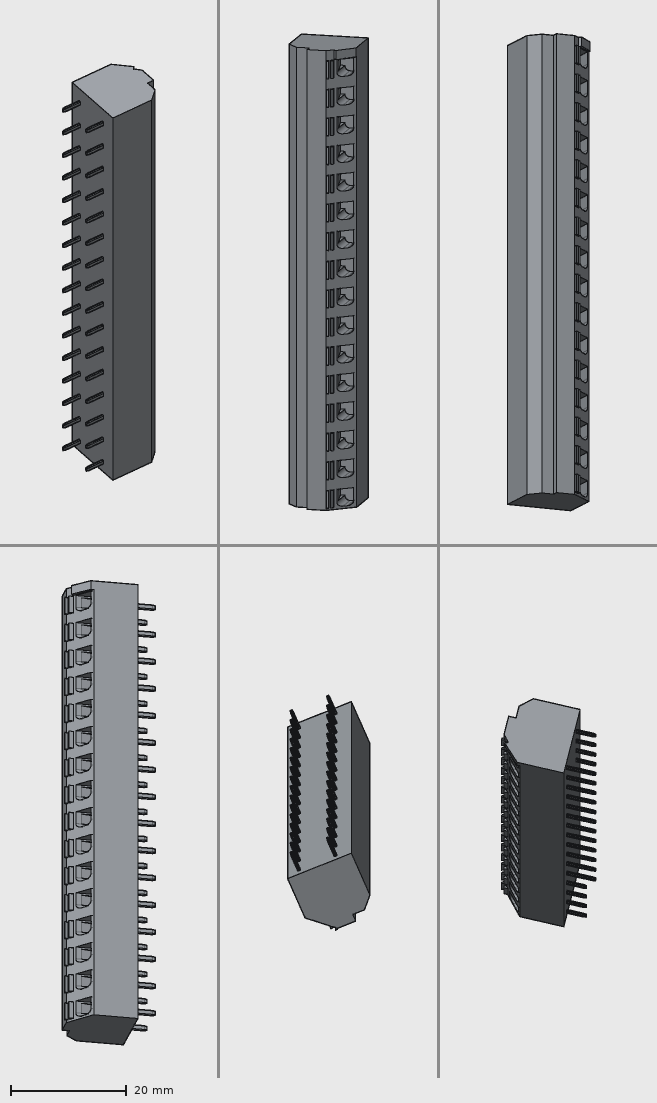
import cadquery as cq

length = 81.5
width = 12.0
body_top = 11.7
left = -width / 2
right = width / 2

poles = 16
pitch = 5.08
first_pin_z = 78.3
first_entry_top_z = 79.7

entry_slope_start = 7.8
entry_slope_end_x = -1.55
step_x = 1.9
step_height = 10.4
step_end_x = 4.1
right_slope_start = 8.3

pad_thickness = 1.6
pad_start = 8.3
pad_rise = 2.85
pad_back = 0.5

entry_height = 3.1
entry_near_x = -5.55
entry_far_x = -3.1
entry_floor = 4.9
entry_corner = 0.9
undercut_top = 9.4
undercut_depth = 0.8
undercut_margin = 0.3

lever_tip_x = -2.0
lever_tip_width = 0.3
lever_top = 12.1
lever_root = 10.7
lever_lean = 0.4
lever_root_width = 0.4
lip_x = -2.7
lip_top = 11.5
lip_width = 0.3

pin_columns = (-3.8, 3.0)
pin_width = 0.5
pin_depth = 1.0
pin_length = 3.5
pin_corner = 0.2
tip_length = 0.5
tip_taper = 0.75
pin_embed = 0.8


def prism(points, z_low, z_high):
    """Outline in X and Y, extruded between two Z levels."""
    return cq.Workplane("XY").workplane(offset=z_low).polyline(points).close().extrude(z_high - z_low)


def make_body():
    return prism(
        [
            (left, 0),
            (right, 0),
            (right, right_slope_start),
            (step_end_x, step_height),
            (step_x, step_height),
            (step_x, body_top),
            (entry_slope_end_x, body_top),
            (left, entry_slope_start),
        ],
        0,
        length,
    )


def make_end_pad():
    edge_x = left + pad_rise
    edge_y = pad_start + pad_rise
    return prism(
        [
            (left, 0),
            (left, pad_start),
            (edge_x, edge_y),
            (edge_x + pad_back, edge_y - pad_back),
            (edge_x + pad_back, 0),
        ],
        length - pad_thickness,
        length,
    )


def make_entry(top_z):
    """Wire entry sunk along Y, rounded at its lower corners and undercut on its inner wall."""
    bottom_z = top_z - entry_height
    opening = (
        cq.Workplane("XY")
        .box(entry_far_x - entry_near_x, body_top - entry_floor, entry_height, centered=False)
        .translate((entry_near_x, entry_floor, bottom_z))
        .edges("|Y and <Z")
        .fillet(entry_corner)
    )
    undercut = prism(
        [
            (entry_near_x, undercut_top),
            (entry_far_x, undercut_top),
            (entry_far_x + undercut_depth, entry_floor),
            (entry_near_x, entry_floor),
        ],
        bottom_z + entry_corner,
        top_z - undercut_margin,
    )
    return opening.union(undercut)


def make_lever(top_z):
    """Leaning release tip with a low lip in front of it."""
    bottom_z = top_z - entry_height
    tip = prism(
        [
            (lever_tip_x, lever_top),
            (lever_tip_x + lever_tip_width, lever_top),
            (lever_tip_x + lever_lean + lever_root_width, lever_root),
            (lever_tip_x + lever_lean, lever_root),
        ],
        bottom_z,
        top_z,
    )
    lip = prism(
        [
            (lip_x, lip_top),
            (lip_x + lip_width, lip_top),
            (entry_slope_end_x, lever_root),
            (entry_slope_end_x, entry_slope_start),
            (lip_x, entry_slope_start),
        ],
        bottom_z,
        top_z,
    )
    return tip.union(lip)


def pin_section(size):
    """Rectangle with cut corners, scaled by size, as points in X and Z."""
    half_width = size * pin_width / 2
    half_depth = size * pin_depth / 2
    corner = size * pin_corner
    quarter = [(half_width, half_depth - corner), (half_width - corner, half_depth)]
    upper = quarter + [(-x, z) for x, z in reversed(quarter)]
    return upper + [(-x, -z) for x, z in upper]


def make_pin(x, z):
    """Pin along -Y with cut corners and a tapered tip."""
    shank_end = tip_length - pin_length
    shank = (
        cq.Workplane("XZ", origin=(x, pin_embed, z))
        .polyline(pin_section(1))
        .close()
        .extrude(pin_embed - shank_end)
    )
    tip = (
        cq.Workplane("XZ", origin=(x, shank_end, z))
        .polyline(pin_section(1))
        .close()
        .workplane(offset=tip_length)
        .polyline(pin_section(tip_taper))
        .close()
        .loft()
    )
    return shank.union(tip)


result = make_body().union(make_end_pad())
for pole in range(poles):
    entry_top_z = first_entry_top_z - pole * pitch
    result = result.cut(make_entry(entry_top_z)).union(make_lever(entry_top_z))
    for pin_x in pin_columns:
        result = result.union(make_pin(pin_x, first_pin_z - pole * pitch))